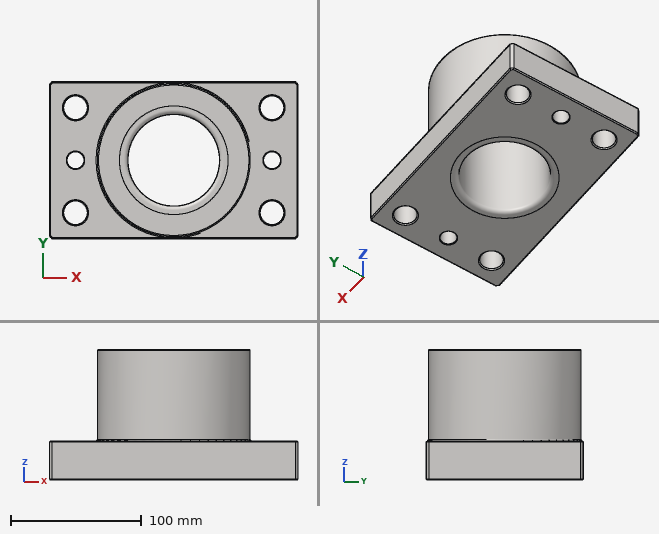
import cadquery as cq
import math

PLATE_LENGTH = 190.0
PLATE_WIDTH = 120.0
PLATE_THICKNESS = 30.0
CORNER_CHAMFER = 2.0
EDGE_CHAMFER = 1.0

TOTAL_HEIGHT = 100.0
HUB_DIAMETER = 116.8
HUB_TOP_CHAMFER = 1.0
HUB_FOOT_ROUNDING = 1.0

BUSHING_DIAMETER = 83.0
BORE_DIAMETER = 70.0
BORE_ROUNDING = 3.5

HOLE_X = 75.0
BOLT_HOLE_Y = 40.0
BOLT_HOLE_DIAMETER = 18.0
DOWEL_HOLE_DIAMETER = 13.0
BOLT_HOLE_CHAMFER = 1.0
DOWEL_HOLE_CHAMFER = 0.5


def make_plate():
    """Rectangular plate with bevelled corners and bevelled top and bottom edges."""
    plate = cq.Workplane("XY").box(
        PLATE_LENGTH, PLATE_WIDTH, PLATE_THICKNESS, centered=(True, True, False)
    )
    plate = plate.edges("|Z").chamfer(CORNER_CHAMFER)
    return plate.faces("<Z or >Z").edges().chamfer(EDGE_CHAMFER)


def make_hub():
    """Solid hub standing on the same base plane as the plate, with a bevelled top rim."""
    hub = cq.Workplane("XY").circle(HUB_DIAMETER / 2).extrude(TOTAL_HEIGHT)
    return hub.faces(">Z").edges().chamfer(HUB_TOP_CHAMFER)


def make_hub_foot():
    """Small concave flare at the hub foot, kept within the flat top of the plate."""
    radius = HUB_DIAMETER / 2
    foot_radius = radius + HUB_FOOT_ROUNDING
    sag = HUB_FOOT_ROUNDING * (1 - math.sqrt(0.5))
    flare = (
        cq.Workplane("XZ")
        .moveTo(0, PLATE_THICKNESS)
        .lineTo(foot_radius, PLATE_THICKNESS)
        .threePointArc(
            (radius + sag, PLATE_THICKNESS + sag),
            (radius, PLATE_THICKNESS + HUB_FOOT_ROUNDING),
        )
        .lineTo(0, PLATE_THICKNESS + HUB_FOOT_ROUNDING)
        .close()
        .revolve()
    )
    flat_length = PLATE_LENGTH - 2 * EDGE_CHAMFER
    flat_width = PLATE_WIDTH - 2 * EDGE_CHAMFER
    return flare.intersect(cq.Workplane("XY").box(flat_length, flat_width, 2 * TOTAL_HEIGHT))


def make_hole(x, y, diameter, chamfer):
    """Cutter for a through hole with a bevel at both mouths."""
    radius = diameter / 2
    mouth_radius = radius + chamfer
    return (
        cq.Workplane("XZ")
        .moveTo(0, 0)
        .lineTo(mouth_radius, 0)
        .lineTo(radius, chamfer)
        .lineTo(radius, PLATE_THICKNESS - chamfer)
        .lineTo(mouth_radius, PLATE_THICKNESS)
        .lineTo(0, PLATE_THICKNESS)
        .close()
        .revolve()
        .translate((x, y, 0))
    )


def make_housing():
    """Plate and hub in one piece, bored for the bushing and drilled for fasteners."""
    seat = cq.Workplane("XY").circle(BUSHING_DIAMETER / 2).extrude(TOTAL_HEIGHT)
    housing = make_plate().union(make_hub()).union(make_hub_foot()).cut(seat)
    for x in (-HOLE_X, HOLE_X):
        for y in (-BOLT_HOLE_Y, BOLT_HOLE_Y):
            housing = housing.cut(make_hole(x, y, BOLT_HOLE_DIAMETER, BOLT_HOLE_CHAMFER))
        housing = housing.cut(make_hole(x, 0, DOWEL_HOLE_DIAMETER, DOWEL_HOLE_CHAMFER))
    return housing


def make_bushing():
    """Full-height sleeve with its bore rounded at both ends."""
    sleeve = (
        cq.Workplane("XY")
        .circle(BUSHING_DIAMETER / 2)
        .circle(BORE_DIAMETER / 2)
        .extrude(TOTAL_HEIGHT)
    )
    bore_rims = cq.selectors.RadiusNthSelector(0)
    return sleeve.edges("%CIRCLE").edges(bore_rims).fillet(BORE_ROUNDING)


housing = make_housing()
bushing = make_bushing()

result = cq.Compound.makeCompound([housing.val(), bushing.val()])